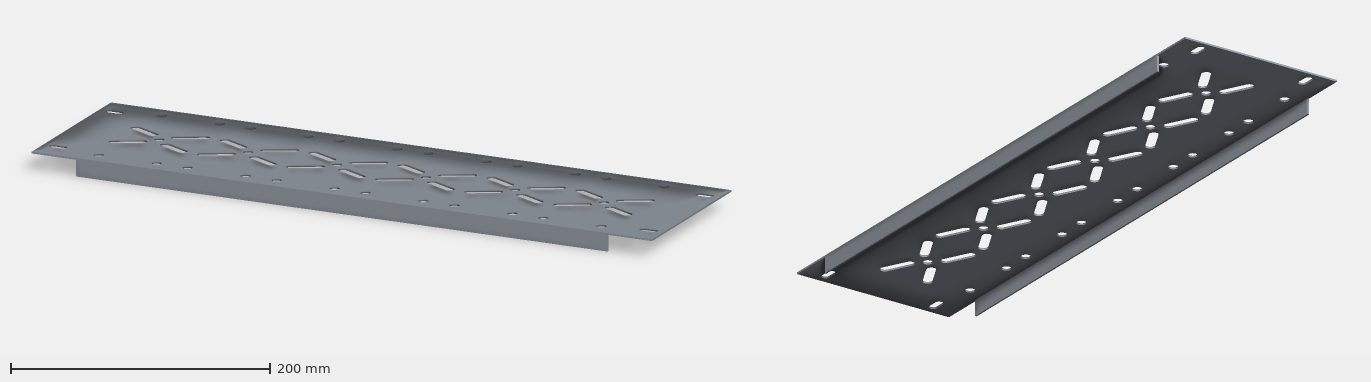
import cadquery as cq

panel_length = 530.0
panel_width = 142.0
panel_height = 15.0
sheet_thickness = 1.5
flange_length = 454.0

module_count = 6
module_pitch = 76.0
module_centres = [(i - (module_count - 1) / 2) * module_pitch for i in range(module_count)]

centre_hole_diameter = 8.0
edge_hole_diameter = 8.0
edge_hole_spacing = 49.5
edge_hole_y = 56.5

slanted_slot_length = 30.0
slanted_slot_width = 8.0
slanted_slot_angle = 27.0
slanted_slot_x = 19.75
slanted_slot_y = 15.0

mounting_slot_length = 15.0
mounting_slot_width = 7.0
mounting_slot_x = 252.25
mounting_slot_y = 50.3

SIDES = (-1, 1)


def make_folded_sheet():
    """Plate with its top face at Z = 0 and a shorter flange down each long edge."""
    plate = cq.Workplane("XY").box(
        panel_length, panel_width, sheet_thickness, centered=(True, True, False)
    ).translate((0, 0, -sheet_thickness))
    for side in SIDES:
        flange = cq.Workplane("XY").box(
            flange_length, sheet_thickness, panel_height, centered=(True, True, False)
        ).translate((0, side * (panel_width - sheet_thickness) / 2, -panel_height))
        plate = plate.union(flange)
    return plate


def cut_round_holes(body, points, diameter):
    cutter = cq.Workplane("XY").pushPoints(points).circle(diameter / 2).extrude(-sheet_thickness)
    return body.cut(cutter)


def cut_slots(body, points, length, width, angle=0):
    cutter = cq.Workplane("XY").pushPoints(points).slot2D(length, width, angle).extrude(-sheet_thickness)
    return body.cut(cutter)


def cut_centre_holes(body):
    return cut_round_holes(body, [(x, 0) for x in module_centres], centre_hole_diameter)


def cut_edge_holes(body):
    points = [
        (x + x_side * edge_hole_spacing / 2, y_side * edge_hole_y)
        for x in module_centres
        for x_side in SIDES
        for y_side in SIDES
    ]
    return cut_round_holes(body, points, edge_hole_diameter)


def cut_slanted_slots(body):
    """Cut one opposite pair of slots per slope, forming an X around each centre hole."""
    for slope in SIDES:
        points = [
            (x + side * slanted_slot_x, side * slope * slanted_slot_y)
            for x in module_centres
            for side in SIDES
        ]
        body = cut_slots(body, points, slanted_slot_length, slanted_slot_width, slope * slanted_slot_angle)
    return body


def cut_mounting_slots(body):
    points = [
        (x_side * mounting_slot_x, y_side * mounting_slot_y)
        for x_side in SIDES
        for y_side in SIDES
    ]
    return cut_slots(body, points, mounting_slot_length, mounting_slot_width)


result = make_folded_sheet()
result = cut_centre_holes(result)
result = cut_edge_holes(result)
result = cut_slanted_slots(result)
result = cut_mounting_slots(result)